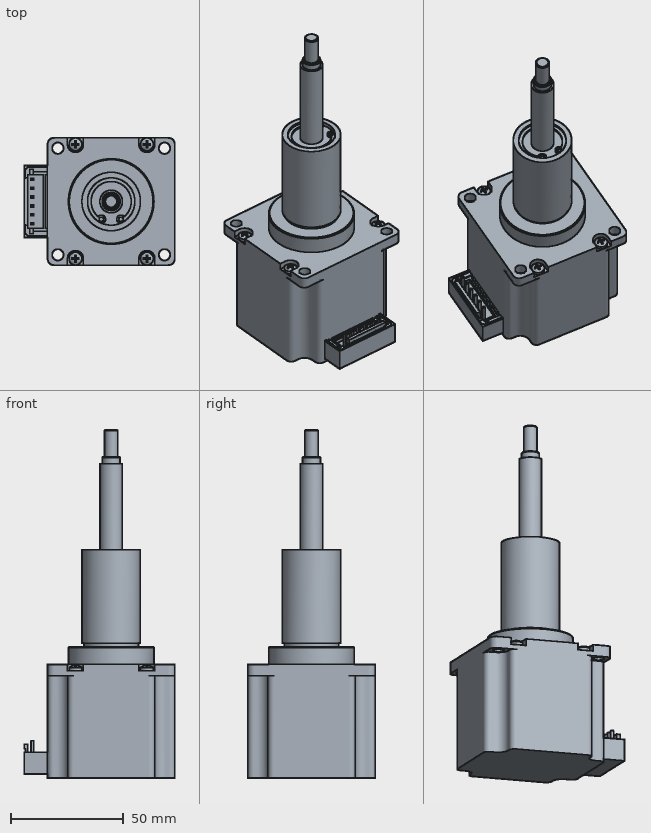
import cadquery as cq
import math

total_height = 154.5

side = 56.5
half_side = side / 2
flange_top = 50.5
flange_bottom = 45.5
flange_corner_radius = 3.0
mount_hole_diameter = 5.0
mount_hole_inset = 4.6
relief_size = 9.0
relief_inner_radius = 4.6
body_edge_radius = 2.5

screw_spacing = 31.7
screw_inset = 3.0
pocket_radius = 3.5
pocket_depth = 3.0
head_diameter = 5.7
head_radius = head_diameter / 2
head_side_height = 1.4
head_dome_height = 1.1
cross_length = 3.1
cross_width = 0.6
cross_depth = 1.0

pilot_diameter = 38.0
pilot_top = 58.4
pilot_chamfer = 0.5
neck_diameter = 24.3
neck_top = 60.0
barrel_diameter = 26.0
barrel_top = 101.4
recess_diameter = 21.0
recess_depth = 1.7

ring_thickness = 0.8
ring_inner_diameter = 17.8
ear_offset_x = 4.3
ear_offset_y = -7.9
ear_radius = 1.9
ear_hole_diameter = 2.0

shaft_diameter = 10.0
shaft_top = 139.5
shoulder_diameter = 8.0
shoulder_top = 142.6
tip_diameter = 6.0
shaft_chamfer = 0.5

connector_reach = 10.4
connector_width = 32.1
connector_bottom = 1.9
connector_top = 11.6
connector_left = -half_side - connector_reach
rim_end_thickness = 0.5
rim_side_thickness = 1.0
shelf_depth = 0.5
shelf_corner_chamfer = 1.1
latch_width = 21.0
latch_thickness = 1.7
latch_lip = 0.6
latch_lip_bottom = 13.0
latch_top = 15.1
cavity_width = 23.8
cavity_length = 6.8
cavity_floor = 8.7
ledge_length = 1.0
ledge_depth = 1.1
side_slot_width = 1.4
key_slot_inset = 2.6
key_slot_length = 1.4
key_slot_width = 2.3
key_slot_depth = 2.2
pin_count = 6
pin_span = 19.8
pin_inset = 3.7
pin_length_x = 1.4
pin_length_y = 1.0
pin_top = 16.7
pin_chamfer = 0.3


def disc(diameter, bottom, top):
    """Cylinder on the motor axis between two heights."""
    return cq.Workplane("XY").workplane(offset=bottom).circle(diameter / 2).extrude(top - bottom)


def block(x_range, y_range, z_range):
    """Axis-aligned box spanning the given ranges."""
    lengths = [high - low for low, high in (x_range, y_range, z_range)]
    corner = (x_range[0], y_range[0], z_range[0])
    return cq.Workplane("XY").box(*lengths, centered=False).translate(corner)


def make_body():
    """Square body with a rounded relief under each mounting hole."""
    body = cq.Workplane("XY").rect(side, side).extrude(flange_bottom)
    reliefs = (
        cq.Workplane("XY")
        .rect(side, side, forConstruction=True)
        .vertices()
        .rect(2 * relief_size, 2 * relief_size)
        .extrude(flange_bottom)
        .edges("|Z")
        .fillet(relief_inner_radius)
    )
    return body.cut(reliefs).edges("|Z and (>X or <X or >Y or <Y)").fillet(body_edge_radius)


def make_flange():
    """Rounded square plate with four through holes."""
    hole_pitch = side - 2 * mount_hole_inset
    thickness = flange_top - flange_bottom
    return (
        cq.Workplane("XY")
        .workplane(offset=flange_bottom)
        .rect(side, side)
        .extrude(thickness)
        .edges("|Z")
        .fillet(flange_corner_radius)
        .faces(">Z")
        .workplane()
        .rect(hole_pitch, hole_pitch, forConstruction=True)
        .vertices()
        .hole(mount_hole_diameter, thickness)
    )


def make_screw_pocket():
    """Round-ended pocket at the origin, open toward +Y."""
    pocket = cq.Workplane("XY").circle(pocket_radius).extrude(pocket_depth)
    mouth = block((-pocket_radius, pocket_radius), (0, 2 * screw_inset), (0, pocket_depth))
    return pocket.union(mouth)


def make_screw_head():
    """Domed head at the origin with a cross recess."""
    head_height = head_side_height + head_dome_height
    dome_radius = (head_radius**2 + head_dome_height**2) / (2 * head_dome_height)
    mid_x = head_radius / 2
    mid_z = head_height - dome_radius + math.sqrt(dome_radius**2 - mid_x**2)
    head = (
        cq.Workplane("XZ")
        .lineTo(head_radius, 0)
        .lineTo(head_radius, head_side_height)
        .threePointArc((mid_x, mid_z), (0, head_height))
        .close()
        .revolve(360, (0, 0, 0), (0, 1, 0))
    )
    cross = (
        cq.Workplane("XY")
        .workplane(offset=head_height - cross_depth)
        .rect(cross_length, cross_width)
        .extrude(cross_depth)
    )
    return head.cut(cross).cut(cross.rotate((0, 0, 0), (0, 0, 1), 90))


def add_screws(solid):
    """Cut the four screw pockets and seat a screw head in each."""
    floor = flange_top - pocket_depth
    screw_y = half_side - screw_inset
    for x in (-screw_spacing / 2, screw_spacing / 2):
        for y, turn in ((screw_y, 0), (-screw_y, 180)):
            place = (x, y, floor)
            pocket = make_screw_pocket().rotate((0, 0, 0), (0, 0, 1), turn)
            solid = solid.cut(pocket.translate(place)).union(make_screw_head().translate(place))
    return solid


def make_barrel():
    """Pilot, neck and barrel with a shallow recess in its end."""
    pilot = disc(pilot_diameter, flange_top, pilot_top).faces(">Z").chamfer(pilot_chamfer)
    neck = disc(neck_diameter, pilot_top, neck_top)
    barrel = disc(barrel_diameter, neck_top, barrel_top)
    recess = disc(recess_diameter, barrel_top - recess_depth, barrel_top)
    return pilot.union(neck).union(barrel.cut(recess))


def make_snap_ring():
    """Open ring against the recess wall, ending in two pierced ears."""
    floor = barrel_top - recess_depth
    top = floor + ring_thickness
    ring = disc(recess_diameter, floor, top).cut(disc(ring_inner_diameter, floor, top))
    gap = block((-ear_offset_x, ear_offset_x), (-recess_diameter, 0), (floor, top))
    ear_centers = [(-ear_offset_x, ear_offset_y), (ear_offset_x, ear_offset_y)]
    ear_plane = cq.Workplane("XY").workplane(offset=floor).pushPoints(ear_centers)
    ears = ear_plane.circle(ear_radius).extrude(ring_thickness)
    ear_holes = ear_plane.circle(ear_hole_diameter / 2).extrude(ring_thickness)
    ears = ears.intersect(disc(recess_diameter, floor, top))
    return ring.cut(gap).union(ears).cut(ear_holes)


def make_shaft():
    """Shaft stepping down twice to a chamfered tip."""
    shaft = disc(shaft_diameter, barrel_top - recess_depth, shaft_top)
    shoulder = disc(shoulder_diameter, shaft_top, shoulder_top).faces(">Z").chamfer(shaft_chamfer)
    tip = disc(tip_diameter, shoulder_top, total_height).faces(">Z").chamfer(shaft_chamfer)
    return shaft.union(shoulder).union(tip)


def make_housing():
    """Open-topped connector housing with a shelf, a cavity and side slots."""
    half_width = connector_width / 2
    half_cavity = cavity_width / 2
    cavity_left = connector_left + latch_thickness
    cavity_right = cavity_left + cavity_length
    ledge_bottom = connector_top - ledge_depth
    housing = block(
        (connector_left, -half_side), (-half_width, half_width), (connector_bottom, connector_top)
    )

    shelf_half_width = half_width - rim_side_thickness
    shelf = block(
        (connector_left + rim_end_thickness, -half_side),
        (-shelf_half_width, shelf_half_width),
        (connector_top - shelf_depth, connector_top),
    )
    shelf = shelf.edges("|Z and <X").chamfer(shelf_corner_chamfer)
    cavity = block((cavity_left, cavity_right), (-half_cavity, half_cavity), (cavity_floor, connector_top))
    ledge = block(
        (cavity_right, cavity_right + ledge_length),
        (-half_cavity, half_cavity),
        (ledge_bottom, connector_top),
    )
    housing = housing.cut(shelf).cut(cavity).cut(ledge)

    key_left = connector_left + key_slot_inset
    key_right = key_left + key_slot_length
    key_slot = block(
        (key_left, key_right),
        (half_cavity, half_cavity + key_slot_width),
        (connector_top - key_slot_depth, connector_top),
    )
    side_slot = block(
        (key_right, -half_side), (half_cavity, half_cavity + side_slot_width), (ledge_bottom, connector_top)
    )
    end_slots = key_slot.union(side_slot)
    return housing.cut(end_slots).cut(end_slots.mirror("XZ"))


def make_latch():
    """Upright wall whose outward lip overhangs its base."""
    latch_range = (-latch_width / 2, latch_width / 2)
    latch_right = connector_left + latch_thickness
    wall_base = connector_top - shelf_depth
    wall = block((connector_left + latch_lip, latch_right), latch_range, (wall_base, latch_top))
    lip = block((connector_left, latch_right), latch_range, (latch_lip_bottom, latch_top))
    return wall.union(lip)


def make_pins():
    """Row of upright contacts rising from the cavity floor."""
    pitch = pin_span / (pin_count - 1)
    return (
        cq.Workplane("XY")
        .workplane(offset=cavity_floor)
        .center(connector_left + pin_inset, 0)
        .rarray(1.5, pitch, 1, pin_count)
        .rect(pin_length_x, pin_length_y)
        .extrude(pin_top - cavity_floor)
        .faces(">Z")
        .edges("|Y")
        .chamfer(pin_chamfer)
    )


motor = add_screws(make_body().union(make_flange()))
spindle = make_barrel().union(make_snap_ring()).union(make_shaft())
connector = make_housing().union(make_latch()).union(make_pins())
result = motor.union(spindle).union(connector)